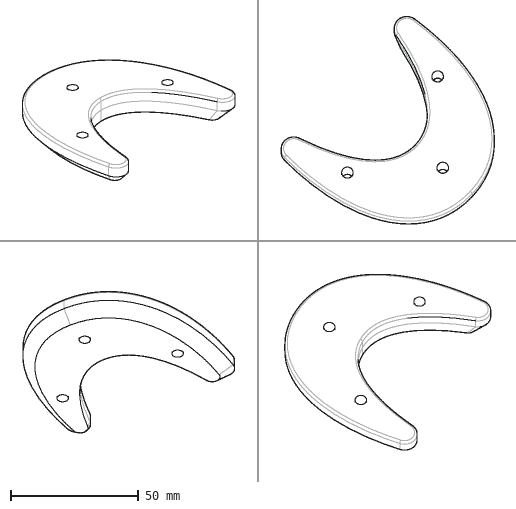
import cadquery as cq
import math

length = 69.3
thickness = 10.0

bevel_height = 5.0
bevel_inset = 4.8
top_fillet = 1.0

tip_radius = 5.0
tip_centre = (length / 2 - tip_radius, 33.2)
bottom_tip_radius = 3.1
outer_tip_angle = math.radians(4.1)
inner_tip_angle = math.radians(14.8)

outer_crown_handle = 26.0
outer_tip_handle = 39.0
bottom_crown_handle = 24.8
bottom_tip_handle = 29.95
inner_crown_x = -4.6
inner_crown_handle = 14.2
inner_tip_handle = 20.2
bottom_inner_start = 0.056

hole_diameter = 4.5
hole_centre_x = 7.4
hole_spacing_radius = 26.5


def polar(centre, radius, angle):
    """Point at a radius and angle (from +X) around a centre."""
    return (centre[0] + radius * math.cos(angle), centre[1] + radius * math.sin(angle))


def between(start, end, fraction):
    """Point part of the way from start to end."""
    return tuple(a + (b - a) * fraction for a, b in zip(start, end))


def shortened_bezier(points, fraction):
    """Control points of a Bezier curve with its first fraction removed."""
    kept = []
    while points:
        kept.insert(0, points[-1])
        points = [between(a, b, fraction) for a, b in zip(points, points[1:])]
    return kept


def half_outline(height, crown_x, crown_handle, tip_handle, centre, radius, inner_curve):
    """Closed +Y half crescent: outer side, tip arc, inner side and mirror line."""
    outer_end = polar(centre, radius, math.pi / 2 - outer_tip_angle)
    outer_tip_control = polar(outer_end, tip_handle, math.pi - outer_tip_angle)
    return (
        cq.Workplane("XY", origin=(0, 0, height))
        .moveTo(crown_x, 0)
        .bezier([(crown_x, crown_handle), outer_tip_control, outer_end], includeCurrent=True)
        .threePointArc(polar(centre, radius, 0), inner_curve[0])
        .bezier(inner_curve[1:], includeCurrent=True)
        .close()
    )


inner_tip = polar(tip_centre, tip_radius, inner_tip_angle - math.pi / 2)
inner_curve = [
    inner_tip,
    polar(inner_tip, inner_tip_handle, inner_tip_angle + math.pi),
    (inner_crown_x, inner_crown_handle),
    (inner_crown_x, 0),
]
bottom_inner_curve = shortened_bezier(inner_curve, bottom_inner_start)

bottom_start, bottom_control = bottom_inner_curve[:2]
bottom_inner_angle = math.atan2(bottom_start[1] - bottom_control[1], bottom_start[0] - bottom_control[0])
bottom_tip_centre = polar(bottom_start, bottom_tip_radius, bottom_inner_angle + math.pi / 2)

full_outline = half_outline(
    bevel_height, -length / 2, outer_crown_handle, outer_tip_handle, tip_centre, tip_radius, inner_curve
)
bottom_outline = half_outline(
    0,
    bevel_inset - length / 2,
    bottom_crown_handle,
    bottom_tip_handle,
    bottom_tip_centre,
    bottom_tip_radius,
    bottom_inner_curve,
)

upper_half = full_outline.extrude(thickness - bevel_height)
upper_half = upper_half.faces(">Z").edges("not(|X)").fillet(top_fillet)

full_wire = full_outline.wires().val()
bottom_wire = bottom_outline.wires().val()
lower_half = cq.Workplane(cq.Solid.makeLoft([bottom_wire, full_wire], True))

plate = upper_half.union(lower_half).mirror("XZ", union=True)

hole_centres = [
    (hole_centre_x - hole_spacing_radius, 0),
    (hole_centre_x, hole_spacing_radius),
    (hole_centre_x, -hole_spacing_radius),
]
holes = cq.Workplane("XY").pushPoints(hole_centres).circle(hole_diameter / 2).extrude(thickness)
result = plate.cut(holes)